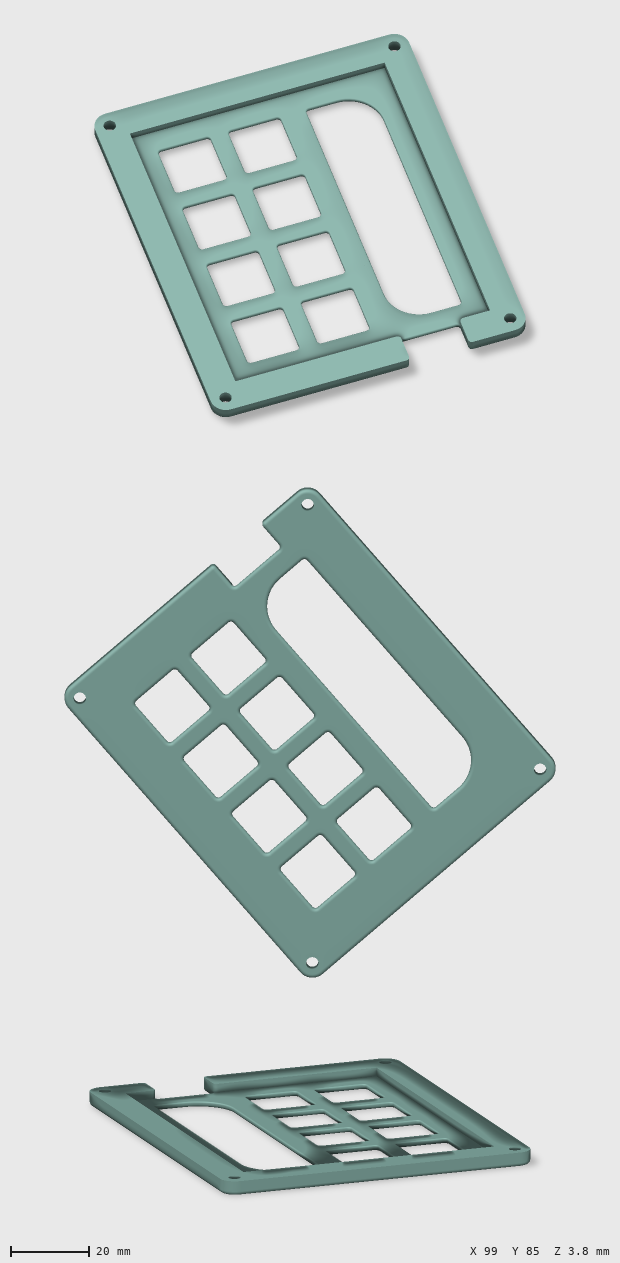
import cadquery as cq

length = 99.0
width = 85.0
thickness = 3.8
corner_radius = 4.1
bottom_edge_radius = 1.0

rim_width = 8.0
floor_thickness = 1.5
pocket_length = length - 2 * rim_width
pocket_width = width - 2 * rim_width

rim_height = thickness - bottom_edge_radius

hole_diameter = 3.2
hole_inset = 4.0

small_corner_radius = 1.0
floor_edge_radius = 0.4

key_size = 14.1
key_pitch = 19.0
key_columns = 4
key_rows = 2
key_center_y = -12.5

window_length = (key_columns - 1) * key_pitch + key_size
window_width = 17.9
window_center_y = 20.0
window_large_radius = 9.5

notch_width = 16.0
notch_center_y = 18.1


def make_layer(height):
    """Plate outline with rounded corners, open at the notch."""
    notch = (
        cq.Workplane("XY")
        .center((length - rim_width) / 2, notch_center_y)
        .rect(rim_width, notch_width)
        .extrude(height)
    )
    return (
        cq.Workplane("XY")
        .rect(length, width)
        .extrude(height)
        .edges("|Z")
        .fillet(corner_radius)
        .cut(notch)
    )


def notch_corners(height):
    """Selector for the upright edges at the mouth and the inner end of the notch."""
    return cq.selectors.BoxSelector(
        (pocket_length / 2 - small_corner_radius, notch_center_y - notch_width, 0),
        (length / 2 + small_corner_radius, notch_center_y + notch_width, height),
    )


def make_floor():
    """Lower layer, with its top and bottom outlines rounded over."""
    floor = make_layer(floor_thickness)
    floor = floor.edges("|Z").edges(notch_corners(floor_thickness)).fillet(small_corner_radius)
    floor = floor.faces("<Z").edges().fillet(bottom_edge_radius)
    return floor.faces(">Z").edges().fillet(floor_edge_radius)


def make_rim():
    """Upper layer, a frame around the pocket with rounded ends at the notch."""
    pocket = cq.Workplane("XY").rect(pocket_length, pocket_width).extrude(rim_height)
    rim = make_layer(rim_height).cut(pocket)
    rim = rim.edges("|Z").edges(notch_corners(rim_height)).fillet(small_corner_radius)
    return rim.translate((0, 0, bottom_edge_radius))


def key_cutter():
    return (
        cq.Workplane("XY")
        .rarray(key_pitch, key_pitch, key_columns, key_rows)
        .rect(key_size, key_size)
        .extrude(floor_thickness)
        .edges("|Z")
        .fillet(small_corner_radius)
        .translate((0, key_center_y, 0))
    )


def window_cutter():
    return (
        cq.Workplane("XY")
        .rect(window_length, window_width)
        .extrude(floor_thickness)
        .edges("(|Z and <X and >Y) or (|Z and >X and <Y)")
        .fillet(window_large_radius)
        .edges("(|Z and <X and <Y) or (|Z and >X and >Y)")
        .fillet(small_corner_radius)
        .translate((0, window_center_y, 0))
    )


def opening_edges(height):
    """Selector for the outlines of the window and key openings at one height."""
    side = pocket_length / 2 - small_corner_radius
    end = pocket_width / 2 - small_corner_radius
    margin = floor_edge_radius / 2
    return cq.selectors.BoxSelector((-side, -end, height - margin), (side, end, height + margin))


def hole_cutter():
    return (
        cq.Workplane("XY")
        .rect(length - 2 * hole_inset, width - 2 * hole_inset, forConstruction=True)
        .vertices()
        .circle(hole_diameter / 2)
        .extrude(thickness)
    )


result = make_floor().union(make_rim())
result = result.cut(key_cutter()).cut(window_cutter())
result = result.edges(opening_edges(floor_thickness)).fillet(floor_edge_radius)
result = result.edges(opening_edges(0)).fillet(bottom_edge_radius)
result = result.cut(hole_cutter())